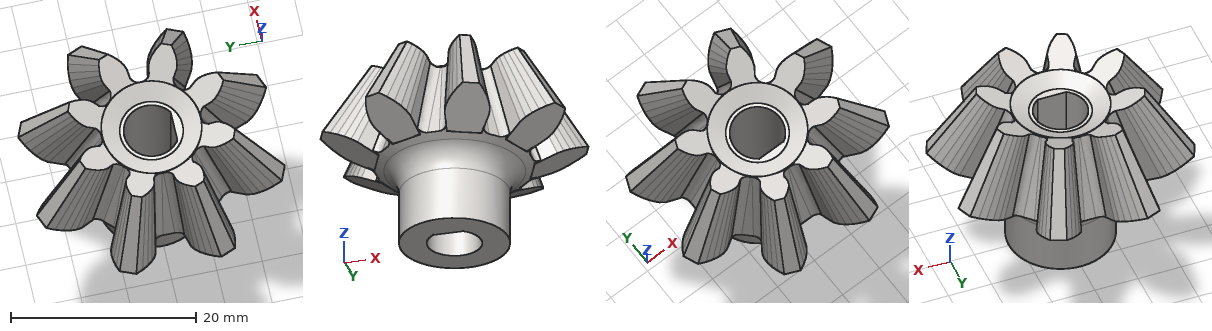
import cadquery as cq
import math


teeth = 8
mate_teeth = 16
pitch_diameter = 24.0
face_width = 10.0
addendum = 2.77
dedendum_factor = 1.25
pressure_angle = math.radians(22.5)
flank_facets = 5
root_fillet = 1.01

gap_floor_depth = 0.82
gap_floor_overrun = 0.02
flank_overlap = 0.03
core_inset = 0.015

pitch_height = 10.9
hub_diameter = 12.0
hub_fillet = 3.0
bore_diameter = 6.0
bore_flat_offset = 2.5
ledge_diameter = 6.85

pitch_angle = math.atan(teeth / mate_teeth)
pitch_radius = pitch_diameter / 2
cone_distance = pitch_radius / math.sin(pitch_angle)
apex_height = pitch_height + pitch_radius / math.tan(pitch_angle)
toe_scale = 1 - face_width / cone_distance
tooth_spacing = 360 / teeth

back_cone_radius = pitch_radius / math.cos(pitch_angle)
back_cone_height = pitch_height - pitch_radius * math.tan(pitch_angle)
tip_radius = back_cone_radius + addendum
root_radius = back_cone_radius - dedendum_factor * pitch_diameter / teeth
base_radius = back_cone_radius * math.cos(pressure_angle)

pitch_half_angle = math.pi * pitch_diameter / teeth / 4 / back_cone_radius
base_half_angle = pitch_half_angle + math.tan(pressure_angle) - pressure_angle


def end_height(scale, radius):
    """Height at a radius on the conical end face that is `scale` of the way from the apex to the heel."""
    cone_point = apex_height - scale * (apex_height - back_cone_height)
    return cone_point + radius * math.tan(pitch_angle)


def end_plane(scale, azimuth):
    """Plane touching that conical end face; its local Y runs outward, up the cone."""
    turn = math.radians(azimuth)
    slope_normal = (
        -math.sin(pitch_angle) * math.cos(turn),
        -math.sin(pitch_angle) * math.sin(turn),
        math.cos(pitch_angle),
    )
    tangent = (math.sin(turn), -math.cos(turn), 0)
    return cq.Plane(origin=(0, 0, end_height(scale, 0)), xDir=tangent, normal=slope_normal)


def loft_ends(heel_wire, toe_wire):
    return cq.Workplane(cq.Solid.makeLoft([heel_wire, toe_wire], True))


def flank_half_angle(radius):
    roll = math.acos(base_radius / radius)
    return base_half_angle - (math.tan(roll) - roll)


def tooth_wire(scale, azimuth):
    polar = [(root_radius, base_half_angle)]
    for i in range(flank_facets + 1):
        radius = base_radius + (tip_radius - base_radius) * i / flank_facets
        polar.append((radius, flank_half_angle(radius)))
    side = [(scale * r * math.sin(a), scale * r * math.cos(a)) for r, a in polar]
    mirrored = [(-x, y) for x, y in reversed(side)]
    return cq.Workplane(end_plane(scale, azimuth)).polyline(side + mirrored).close().val()


def make_tooth(azimuth):
    return loft_ends(tooth_wire(1, azimuth), tooth_wire(toe_scale, azimuth))


tooth_root_azimuth = math.atan(math.tan(base_half_angle) / math.cos(pitch_angle))
gap_azimuth = math.pi / teeth - tooth_root_azimuth
gap_half_angle = math.atan(math.tan(gap_azimuth) * math.cos(pitch_angle))
fillet_turn = math.pi / 2 - gap_half_angle
fillet_tangent = root_fillet * math.tan(fillet_turn / 2)


def gap_floor_wire(scale, azimuth):
    root = scale * root_radius
    floor = root - gap_floor_depth
    corner = root * math.tan(gap_half_angle)
    strip = corner - fillet_tangent
    middle_x = strip + root_fillet * math.sin(fillet_turn / 2)
    middle_y = root + root_fillet * (1 - math.cos(fillet_turn / 2))
    top_x = corner + fillet_tangent * math.sin(gap_half_angle) + flank_overlap
    top_y = root + fillet_tangent * math.cos(gap_half_angle)
    return (
        cq.Workplane(end_plane(scale, azimuth))
        .moveTo(-strip, root)
        .lineTo(strip, root)
        .threePointArc((middle_x, middle_y), (top_x, top_y))
        .lineTo(top_x, floor)
        .lineTo(-top_x, floor)
        .lineTo(-top_x, top_y)
        .threePointArc((-middle_x, middle_y), (-strip, root))
        .close()
        .val()
    )


def above_toe_face(azimuth):
    block = cq.Workplane(end_plane(toe_scale, azimuth))
    return block.rect(pitch_diameter, pitch_diameter).extrude(face_width)


def make_gap_floor(azimuth):
    heel = gap_floor_wire(1 + gap_floor_overrun, azimuth)
    toe = gap_floor_wire(toe_scale - gap_floor_overrun, azimuth)
    before = above_toe_face(azimuth - tooth_spacing / 2)
    after = above_toe_face(azimuth + tooth_spacing / 2)
    return loft_ends(heel, toe).cut(before.intersect(after))


def make_core():
    radius = (root_radius - core_inset) * math.cos(pitch_angle)
    foot_radius = radius * apex_height / (apex_height - end_height(1, radius))
    profile = cq.Workplane("XZ").lineTo(foot_radius, 0).lineTo(0, apex_height).close()
    return profile.revolve(360, (0, 0, 0), (0, 1, 0))


def make_envelope():
    hub_radius = hub_diameter / 2
    ledge_radius = ledge_diameter / 2
    rim_radius = pitch_radius
    turn = math.pi / 2 - pitch_angle
    tangent = hub_fillet * math.tan(turn / 2)
    hub_top = end_height(1, hub_radius) - tangent
    fillet_end = hub_radius + tangent * math.cos(pitch_angle)
    arc_x = hub_radius + hub_fillet * (1 - math.cos(turn / 2))
    arc_z = hub_top + hub_fillet * math.sin(turn / 2)
    return (
        cq.Workplane("XZ")
        .lineTo(hub_radius, 0)
        .lineTo(hub_radius, hub_top)
        .threePointArc((arc_x, arc_z), (fillet_end, end_height(1, fillet_end)))
        .lineTo(rim_radius, end_height(1, rim_radius))
        .lineTo(rim_radius, end_height(toe_scale, rim_radius))
        .lineTo(ledge_radius, end_height(toe_scale, ledge_radius))
        .lineTo(0, end_height(toe_scale, ledge_radius))
        .close()
        .revolve(360, (0, 0, 0), (0, 1, 0))
    )


def make_bore():
    bore = cq.Workplane("XY").circle(bore_diameter / 2).extrude(apex_height)
    kept_side = (
        cq.Workplane("XY")
        .center(0, bore_diameter / 2 - bore_flat_offset)
        .rect(bore_diameter, bore_diameter)
        .extrude(apex_height)
    )
    return bore.intersect(kept_side)


gap_angles = [index * tooth_spacing for index in range(teeth)]

body = make_core()
for angle in gap_angles:
    body = body.union(make_gap_floor(angle))
body = body.intersect(make_envelope())

for angle in gap_angles:
    body = body.union(make_tooth(angle + tooth_spacing / 2))

result = body.cut(make_bore())